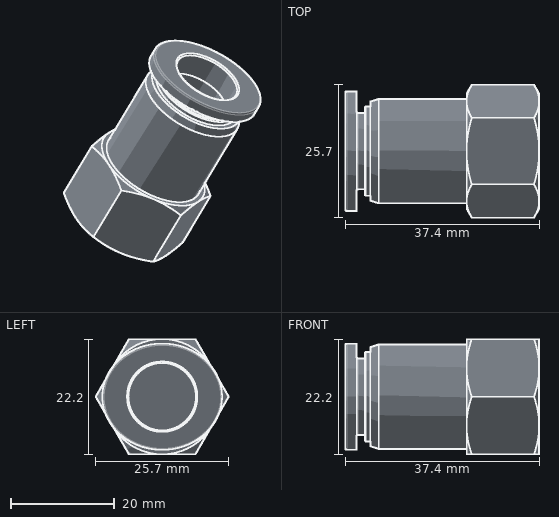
import cadquery as cq
import math


total_length = 37.4
flange_thickness = 2.2
mouth_ring_start = 3.75
barrel_start = 4.88
collet_end = 5.0
hex_length = 14.0
hex_start = total_length - hex_length

flange_width = 23.1
flange_height = 20.5
flange_edge_round = 0.3
neck_diameter = 14.8
neck_root_fillet = 0.25
bore_diameter = 13.0
bore_mouth_chamfer = 0.3

mouth_ring_diameter = 17.3
mouth_ring_chamfer = 0.25
barrel_diameter = 20.2
barrel_taper_length = 1.6
barrel_taper_angle = 18.0
barrel_taper_depth = barrel_taper_length * math.tan(math.radians(barrel_taper_angle))
bore_floor = hex_start

hex_across_flats = 22.23
hex_sides = 6
hex_across_corners = hex_across_flats / math.cos(math.pi / hex_sides)
hex_chamfer_angle = 30.0
hex_chamfer_depth = (hex_across_corners - hex_across_flats) / 2
hex_chamfer_length = hex_chamfer_depth * math.tan(math.radians(hex_chamfer_angle))


def section(x):
    """Workplane across the axis at x, with local x along Y and local y along Z."""
    return cq.Workplane("YZ", origin=(x, 0, 0))


def cylinder(diameter, start, end):
    return section(start).circle(diameter / 2).extrude(end - start)


def make_collet():
    flange = section(0).ellipse(flange_width / 2, flange_height / 2).extrude(flange_thickness)
    flange = flange.faces("<X").edges().fillet(flange_edge_round)

    neck = cylinder(neck_diameter, flange_thickness, collet_end)
    collet = flange.union(neck)
    root_edge = cq.selectors.RadiusNthSelector(0)
    collet = collet.faces(">X[1]").edges(root_edge).fillet(neck_root_fillet)

    collet = collet.cut(cylinder(bore_diameter, 0, collet_end))
    return collet.faces("<X").edges("%CIRCLE").chamfer(bore_mouth_chamfer)


def make_hexagon():
    """Hexagonal prism with its corners turned down to a cone at both ends."""
    prism = section(hex_start).polygon(hex_sides, hex_across_corners).extrude(hex_length)
    turned_blank = cylinder(hex_across_corners, hex_start, total_length)
    turned_blank = turned_blank.faces("<X").chamfer(hex_chamfer_length, hex_chamfer_depth)
    turned_blank = turned_blank.faces(">X").chamfer(hex_chamfer_length, hex_chamfer_depth)
    return prism.intersect(turned_blank)


def make_body():
    mouth_ring = cylinder(mouth_ring_diameter, mouth_ring_start, barrel_start)
    mouth_ring = mouth_ring.faces("<X").chamfer(mouth_ring_chamfer)

    barrel = cylinder(barrel_diameter, barrel_start, hex_start)
    barrel = barrel.faces("<X").chamfer(barrel_taper_length, barrel_taper_depth)

    collet_seat = cylinder(neck_diameter, mouth_ring_start, collet_end)
    tube_bore = cylinder(bore_diameter, collet_end, bore_floor)
    return mouth_ring.union(barrel).union(make_hexagon()).cut(collet_seat).cut(tube_bore)


collet = make_collet()
body = make_body()

result = cq.Compound.makeCompound([collet.val(), body.val()])